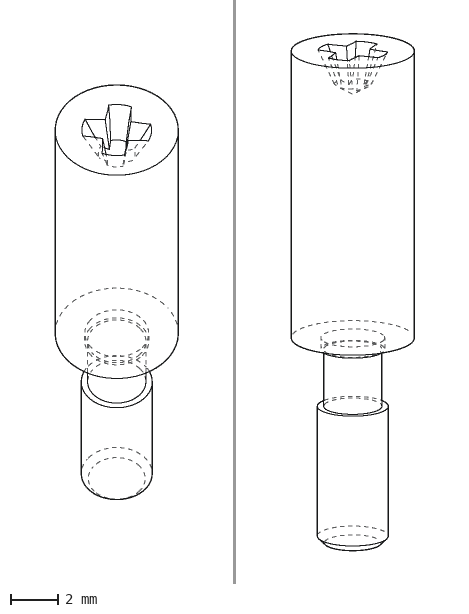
import cadquery as cq
import math

head_diameter = 5.2
head_length = 12.6
collar_diameter = 2.7
collar_length = 0.5
neck_diameter = 2.46
neck_length = 2.5
shank_diameter = 3.0
shank_length = 6.0
tip_chamfer = 0.3

recess_top_radius = 1.47
recess_floor_radius = 0.78
recess_depth = 1.45
recess_floor_slope = 30.0
slot_top_width = 0.97
slot_floor_width = 0.58
arm_count = 4
first_arm_angle = 45.0
flare_start_radius = 1.11
flare_angle = 6.0

shank_top = shank_length
neck_top = shank_top + neck_length
collar_top = neck_top + collar_length
head_top = collar_top + head_length
arm_spacing = 360 / arm_count
slot_angles = (first_arm_angle, first_arm_angle + arm_spacing)
recess_cone_height = recess_floor_radius * math.tan(math.radians(recess_floor_slope))
recess_tip_depth = recess_depth + recess_cone_height
slot_narrowing_per_depth = (slot_top_width - slot_floor_width) / recess_depth
slot_tip_width = slot_top_width - slot_narrowing_per_depth * recess_tip_depth


def make_cylinder(diameter, bottom, length):
    return cq.Workplane("XY").workplane(offset=bottom).circle(diameter / 2).extrude(length)


def make_body():
    shank = make_cylinder(shank_diameter, 0, shank_length).faces("<Z").chamfer(tip_chamfer)
    neck = make_cylinder(neck_diameter, shank_top, neck_length)
    collar = make_cylinder(collar_diameter, neck_top, collar_length)
    head = make_cylinder(head_diameter, collar_top, head_length)
    return shank.union(neck).union(collar).union(head)


def make_recess_envelope():
    """Tapered round cavity with a conical floor; it bounds the ends of the slots."""
    return (
        cq.Workplane("XZ")
        .moveTo(0, head_top)
        .lineTo(recess_top_radius, head_top)
        .lineTo(recess_floor_radius, head_top - recess_depth)
        .lineTo(0, head_top - recess_tip_depth)
        .close()
        .revolve(360, (0, 0, 0), (0, 1, 0))
    )


def make_slot(angle):
    """Slot through the axis whose flanks draw together with depth."""
    return (
        cq.Workplane("YZ")
        .moveTo(-slot_top_width / 2, head_top)
        .lineTo(slot_top_width / 2, head_top)
        .lineTo(slot_tip_width / 2, head_top - recess_tip_depth)
        .lineTo(-slot_tip_width / 2, head_top - recess_tip_depth)
        .close()
        .extrude(head_diameter / 2, both=True)
        .rotate((0, 0, 0), (0, 0, 1), angle)
    )


def make_flare_outline(slot_width):
    """Points where the four slots widen toward the axis and meet in blunt inner corners."""
    flare = math.tan(math.radians(flare_angle))
    half_width = slot_width / 2
    corner = (half_width + flare * flare_start_radius) / (1 + flare)
    arm_points = (
        (flare_start_radius, -half_width),
        (flare_start_radius, half_width),
        (corner, corner),
    )
    points = []
    for arm in range(arm_count):
        angle = math.radians(first_arm_angle + arm_spacing * arm)
        for x, y in arm_points:
            rotated_x = x * math.cos(angle) - y * math.sin(angle)
            rotated_y = x * math.sin(angle) + y * math.cos(angle)
            points.append((rotated_x, rotated_y))
    return points


def make_flare():
    """Central cavity joining the slots, narrowing with depth like their flanks."""
    return (
        cq.Workplane("XY")
        .workplane(offset=head_top - recess_tip_depth)
        .polyline(make_flare_outline(slot_tip_width))
        .close()
        .workplane(offset=recess_tip_depth)
        .polyline(make_flare_outline(slot_top_width))
        .close()
        .loft(ruled=True)
    )


def make_recess():
    slots = make_flare()
    for angle in slot_angles:
        slots = slots.union(make_slot(angle))
    return make_recess_envelope().intersect(slots)


result = make_body().cut(make_recess())